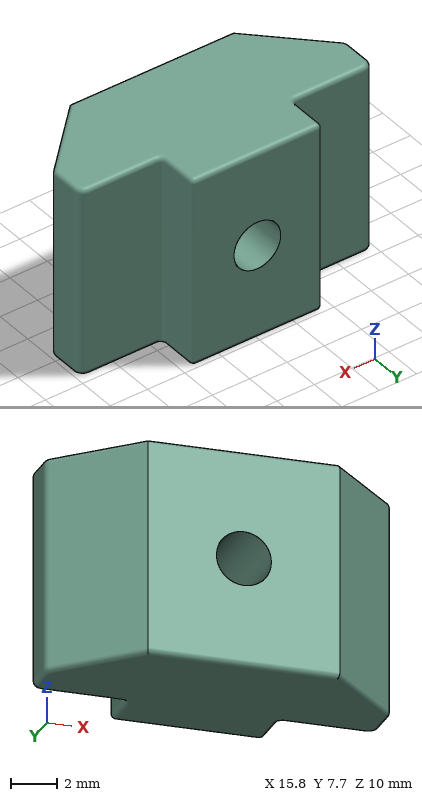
import cadquery as cq

width = 15.75
depth = 7.7
length = 10.0

stem_width = 7.0
stem_depth = 2.2
chamfer_size = 3.5

small_radius = 0.25
wing_radius = 0.5
hole_diameter = 2.5

half_width = width / 2
half_stem = stem_width / 2
front_y = -depth / 2
back_y = depth / 2
shoulder_y = back_y - stem_depth
chamfer_top_y = front_y + chamfer_size
half_front = half_width - chamfer_size


def round_upright_edges(body, points, radius):
    """Fillet the Z-direction edges at the given (x, y) point and its mirror image in X."""
    for x, y in points:
        for side in (-1, 1):
            at_corner = cq.selectors.NearestToPointSelector((side * x, y, 0))
            body = body.edges("|Z").edges(at_corner).fillet(radius)
    return body


right_half = [
    (half_front, front_y),
    (half_width, chamfer_top_y),
    (half_width, shoulder_y),
    (half_stem, shoulder_y),
    (half_stem, back_y),
]
left_half = [(-x, y) for x, y in reversed(right_half)]
body = cq.Workplane("XY").polyline(right_half + left_half).close().extrude(length / 2, both=True)

wing_corners = [(half_width, chamfer_top_y), (half_width, shoulder_y)]
stem_corners = [(half_stem, shoulder_y), (half_stem, back_y)]
body = round_upright_edges(body, wing_corners, wing_radius)
body = round_upright_edges(body, stem_corners, small_radius)

body = body.faces("|Z").edges().fillet(small_radius)

bore = cq.Workplane("XZ").circle(hole_diameter / 2).extrude(depth, both=True)
result = body.cut(bore)